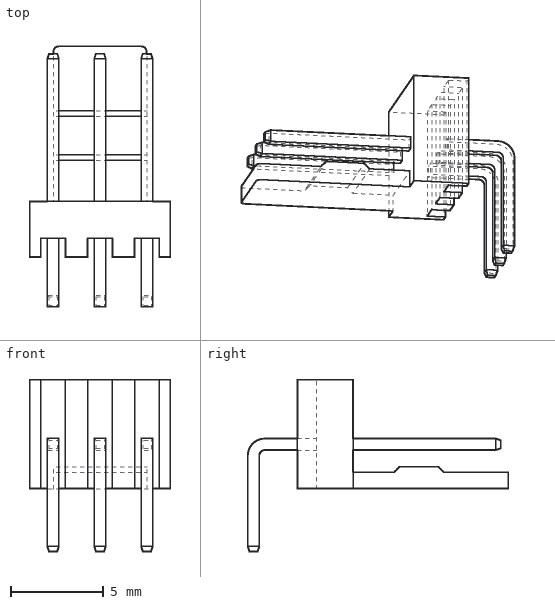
import cadquery as cq

overall_length = 14.1

housing_width = 7.61
housing_depth = 3.02
housing_height = 5.91
slot_width = 1.33
slot_depth = 1.02

pin_count = 3
pin_pitch = 2.54
pin_size = 0.63
pin_top = 2.72
pin_reach = 7.98
pin_drop = 3.4
bend_radius = 0.93
tip_length = 0.28
tip_size = 0.45

tongue_width = 5.05
tongue_length = 8.39
tongue_thickness = 0.9
tongue_corner_radius = 0.3
ramp_start = 2.21
ramp_end = 4.89
ramp_height = 0.3

pin_rear = tongue_length - overall_length
pin_xs = [(i - (pin_count - 1) / 2) * pin_pitch for i in range(pin_count)]


def make_housing():
    housing = cq.Workplane("XY").box(
        housing_width, housing_depth, housing_height, centered=(True, False, False)
    ).translate((0, -housing_depth, 0))
    slot = cq.Workplane("XY").box(
        slot_width, slot_depth, housing_height, centered=(True, False, False)
    )
    for x in pin_xs:
        housing = housing.cut(slot.translate((x, -housing_depth, 0)))
    return housing


def make_tongue():
    tongue = (
        cq.Workplane("XY")
        .box(tongue_width, tongue_length, tongue_thickness, centered=(True, False, False))
        .edges("|Z and >Y")
        .fillet(tongue_corner_radius)
    )
    ramp_top = tongue_thickness + ramp_height
    ramp = (
        cq.Workplane("YZ")
        .moveTo(ramp_start, tongue_thickness)
        .lineTo(ramp_start + ramp_height, ramp_top)
        .lineTo(ramp_end - ramp_height, ramp_top)
        .lineTo(ramp_end, tongue_thickness)
        .close()
        .extrude(tongue_width / 2, both=True)
    )
    return tongue.union(ramp)


def make_tip(plane):
    """Tapered pin end growing from the plane along its normal."""
    return (
        cq.Workplane(plane)
        .rect(pin_size, pin_size)
        .workplane(offset=tip_length)
        .rect(tip_size, tip_size)
        .loft()
    )


def make_pin():
    """Bent square pin centred on X = 0, with both ends tapered."""
    mating_shoulder = pin_reach - tip_length
    solder_shoulder = tip_length - pin_drop
    pin_bottom = pin_top - pin_size
    pin_front = pin_rear + pin_size
    inner_radius = bend_radius - pin_size
    bar = (
        cq.Workplane("YZ")
        .moveTo(mating_shoulder, pin_top)
        .lineTo(pin_rear + bend_radius, pin_top)
        .radiusArc((pin_rear, pin_top - bend_radius), -bend_radius)
        .lineTo(pin_rear, solder_shoulder)
        .lineTo(pin_front, solder_shoulder)
        .lineTo(pin_front, pin_bottom - inner_radius)
        .radiusArc((pin_front + inner_radius, pin_bottom), inner_radius)
        .lineTo(mating_shoulder, pin_bottom)
        .close()
        .extrude(pin_size / 2, both=True)
    )
    mating_end = cq.Plane(
        origin=(0, mating_shoulder, pin_top - pin_size / 2), xDir=(1, 0, 0), normal=(0, 1, 0)
    )
    solder_end = cq.Plane(
        origin=(0, pin_rear + pin_size / 2, solder_shoulder), xDir=(1, 0, 0), normal=(0, 0, -1)
    )
    return bar.union(make_tip(mating_end)).union(make_tip(solder_end))


result = make_housing().union(make_tongue())
pin = make_pin()
for pin_x in pin_xs:
    result = result.union(pin.translate((pin_x, 0, 0)))